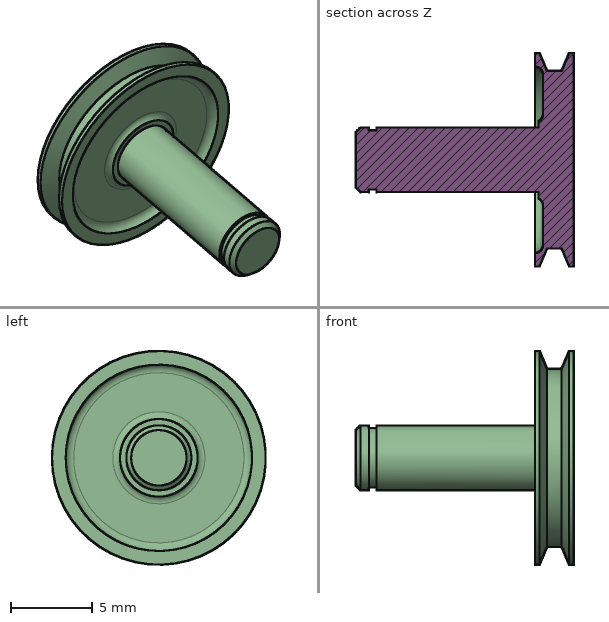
import cadquery as cq
import math

total_length = 13.46
wheel_width = 2.41
wheel_radius = 6.602
shaft_radius = 2.0

tip_chamfer = 0.3
ring_groove_start = 0.82
ring_groove_width = 0.46
ring_groove_radius = 1.85

rim_land_width = 0.3
groove_floor_width = 0.89
groove_floor_radius = 5.5

recess_depth = 0.5
recess_radius = 5.75
recess_fillet = recess_depth
hub_radius = 2.4
hub_base_radius = 2.84
hub_fillet = recess_fillet

wheel_start = total_length - wheel_width
wheel_middle = total_length - wheel_width / 2
recess_floor = wheel_start + recess_depth
hub_arc_angle = math.asin((hub_base_radius - hub_radius) / hub_fillet)
hub_face = recess_floor - hub_fillet * (1 - math.cos(hub_arc_angle))
ring_groove_end = ring_groove_start + ring_groove_width
floor_start = wheel_middle - groove_floor_width / 2
floor_end = wheel_middle + groove_floor_width / 2

hub_arc_middle = (
    recess_floor - hub_fillet * (1 - math.cos(hub_arc_angle / 2)),
    hub_base_radius - hub_fillet * math.sin(hub_arc_angle / 2),
)

arc_inset = 1 - math.sqrt(0.5)

profile = (
    cq.Workplane("XY")
    .moveTo(0, 0)
    .lineTo(0, shaft_radius - tip_chamfer)
    .lineTo(tip_chamfer, shaft_radius)
    .lineTo(ring_groove_start, shaft_radius)
    .lineTo(ring_groove_start, ring_groove_radius)
    .lineTo(ring_groove_end, ring_groove_radius)
    .lineTo(ring_groove_end, shaft_radius)
    .lineTo(hub_face, shaft_radius)
    .lineTo(hub_face, hub_radius)
    .threePointArc(
        hub_arc_middle,
        (recess_floor, hub_base_radius),
    )
    .lineTo(recess_floor, recess_radius - recess_fillet)
    .threePointArc(
        (recess_floor - recess_fillet * arc_inset, recess_radius - recess_fillet * arc_inset),
        (wheel_start, recess_radius),
    )
    .lineTo(wheel_start, wheel_radius)
    .lineTo(wheel_start + rim_land_width, wheel_radius)
    .lineTo(floor_start, groove_floor_radius)
    .lineTo(floor_end, groove_floor_radius)
    .lineTo(total_length - rim_land_width, wheel_radius)
    .lineTo(total_length, wheel_radius)
    .lineTo(total_length, 0)
    .close()
)

result = profile.revolve(360, (0, 0, 0), (1, 0, 0))